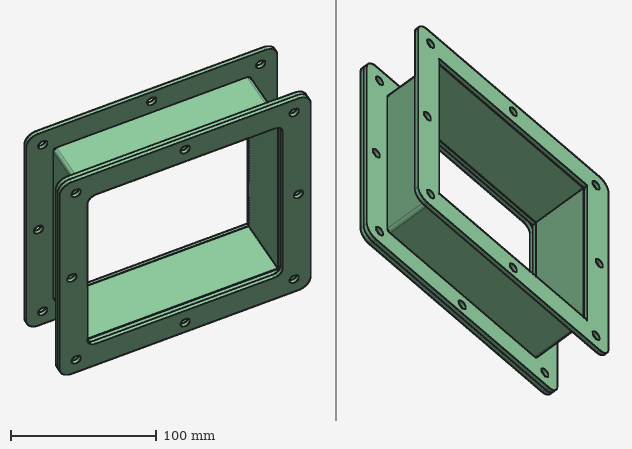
import cadquery as cq

flange_side = 193.7
plate_thickness = 3.1
duct_length = 44.7
corner_radius = 9.3

duct_inner_side = 149.0
duct_wall = 1.7
duct_corner_radius = 2.7
duct_side = duct_inner_side + 2 * duct_wall

opening_side = 150.5
end_opening_radius = 6.5

bolt_hole_diameter = 7.2
corner_hole_offset = 84.0
middle_hole_offset = 87.4

total_length = duct_length + 3 * plate_thickness
front_flange_x = -total_length / 2
duct_x = front_flange_x + plate_thickness
rear_flange_x = duct_x + duct_length
end_plate_x = rear_flange_x + plate_thickness


def square_block(x_start, side, length):
    """Square block centred on the X axis, running from x_start in +X."""
    return cq.Workplane("YZ", origin=(x_start, 0, 0)).rect(side, side).extrude(length)


def bolt_hole_centres():
    """Eight centres: every pairing of left, middle and right with bottom, middle and top."""
    centres = []
    for y_side in (-1, 0, 1):
        for z_side in (-1, 0, 1):
            if y_side == 0 and z_side == 0:
                continue
            is_corner = y_side != 0 and z_side != 0
            offset = corner_hole_offset if is_corner else middle_hole_offset
            centres.append((y_side * offset, z_side * offset))
    return centres


def drilled_plate(x_start):
    """Solid square plate with rounded corners and the bolt holes."""
    plate = square_block(x_start, flange_side, plate_thickness).edges("|X").fillet(corner_radius)
    holes = (
        cq.Workplane("YZ", origin=(x_start, 0, 0))
        .pushPoints(bolt_hole_centres())
        .circle(bolt_hole_diameter / 2)
        .extrude(plate_thickness)
    )
    return plate.cut(holes)


def make_flange(x_start):
    """Flange whose sharp-cornered opening is slightly wider than the duct's inside."""
    return drilled_plate(x_start).cut(square_block(x_start, opening_side, plate_thickness))


def make_duct():
    """Thin square tube, rounded outside and sharp inside, held between the flanges."""
    outside = square_block(duct_x, duct_side, duct_length).edges("|X").fillet(duct_corner_radius)
    return outside.cut(square_block(duct_x, duct_inner_side, duct_length))


def make_end_plate():
    """Plate behind the rear flange, with a round-cornered opening as wide as the flange's."""
    opening = square_block(end_plate_x, opening_side, plate_thickness)
    opening = opening.edges("|X").fillet(end_opening_radius)
    return drilled_plate(end_plate_x).cut(opening)


flanges = [make_flange(x_start) for x_start in (front_flange_x, rear_flange_x)]
duct = make_duct()
end_plate = make_end_plate()

result = cq.Compound.makeCompound(
    [*[flange.val() for flange in flanges], duct.val(), end_plate.val()]
)